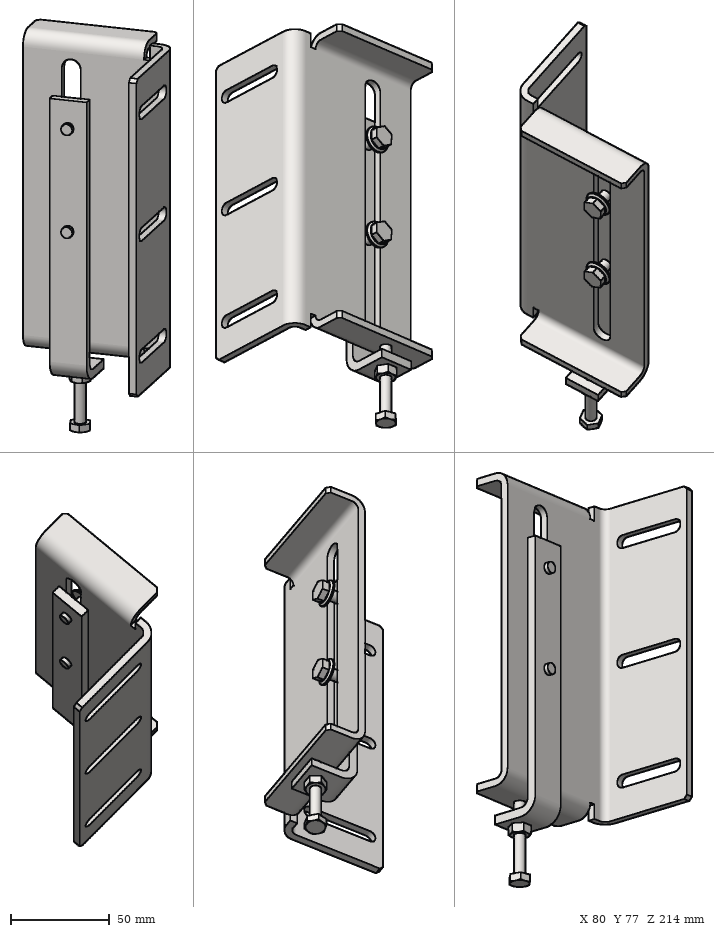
import cadquery as cq
import math


bracket_width = 80.0
bracket_height = 170.0
mid_height = bracket_height / 2
sheet = 4.0
bend_inner = 3.9
bend_outer = bend_inner + sheet
rear_reach = 22.0
side_reach = 55.0
side_inner_x = bracket_width - sheet
rear_flange_width = 65.0
relief_width = 3.2
corner_chamfer = 2.0
mount_slot_width = 7.0
mount_slot_length = 42.0
mount_slot_y = -29.5
mount_slot_margin = 20.0
mount_slot_count = 3
guide_slot_width = 10.0
guide_slot_margin = 12.0

bar_left = 16.0
bar_width = 20.0
bar_x = bar_left + bar_width / 2
bar_thickness = 5.0
bar_top = bracket_height - 32.3
bar_bottom = -12.8
bar_bend_inner = 5.0
bar_bend_outer = bar_bend_inner + bar_thickness

thread_diameter = 6.0
hex_flats = 10.0
hex_corners = hex_flats / math.cos(math.pi / 6)
hex_corner_drop = 0.5

clamp_top_z = bracket_height - 47.3
clamp_pitch = 55.0
clamp_count = 2
clamp_tip_y = -7.3
clamp_flange_y = 6.8
clamp_flange_diameter = 14.1
clamp_flange_sides = 36
clamp_rim_height = 0.9
clamp_cone_height = 1.0
clamp_head_height = 3.9
clamp_head_turn = 3

screw_y = 14.0
screw_bottom = bracket_height - 214
screw_head_height = 4.0
screw_head_turn = -15
nut_height = 5.0


def chamfered_hexagon(height, turn=0):
    """Hexagonal prism standing on Z = 0, turned about Z, with its lower corners chamfered."""
    prism = cq.Workplane("XY").transformed(rotate=(0, 0, turn)).polygon(6, hex_corners).extrude(height)
    corner_limit = (
        cq.Workplane("XZ")
        .polyline([
            (0, 0),
            (hex_flats / 2, 0),
            (hex_corners / 2, hex_corner_drop),
            (hex_corners / 2, height),
            (0, height),
        ])
        .close()
        .revolve(360, (0, 0), (0, 1))
    )
    return prism.intersect(corner_limit)


def make_plate_and_side_flange():
    """L in plan, bent forwards, with the plate ends cleared for the rear flanges and reliefs."""
    angle = (
        cq.Workplane("XY")
        .moveTo(0, 0)
        .lineTo(side_inner_x - bend_inner, 0)
        .radiusArc((side_inner_x, -bend_inner), bend_inner)
        .lineTo(side_inner_x, -side_reach)
        .lineTo(bracket_width, -side_reach)
        .lineTo(bracket_width, sheet - bend_outer)
        .radiusArc((bracket_width - bend_outer, sheet), -bend_outer)
        .lineTo(0, sheet)
        .close()
        .extrude(bracket_height)
        .faces("<Y").edges("|X").chamfer(corner_chamfer)
    )
    for end_z in (0, bracket_height - bend_outer):
        clearance = cq.Workplane("XY", origin=(0, 0, end_z)).box(
            rear_flange_width + relief_width, sheet, bend_outer, centered=False)
        angle = angle.cut(clearance)
    return angle


def make_lower_rear_flange():
    """Rear flange at the bracket bottom together with its bend."""
    return (
        cq.Workplane("YZ")
        .moveTo(0, bend_outer)
        .radiusArc((bend_outer, 0), -bend_outer)
        .lineTo(rear_reach, 0)
        .lineTo(rear_reach, sheet)
        .lineTo(bend_outer, sheet)
        .radiusArc((sheet, bend_outer), bend_inner)
        .close()
        .extrude(rear_flange_width)
        .faces(">Y").edges("|Z").chamfer(corner_chamfer)
    )


def make_bracket():
    lower_flange = make_lower_rear_flange()
    upper_flange = lower_flange.mirror("XY", (0, 0, mid_height))
    bracket = make_plate_and_side_flange().union(lower_flange).union(upper_flange)

    mount_slot_pitch = (bracket_height - 2 * mount_slot_margin) / (mount_slot_count - 1)
    mount_slots = (
        cq.Workplane("YZ", origin=(side_inner_x, mount_slot_y, mid_height))
        .rarray(2.1, mount_slot_pitch, 1, mount_slot_count)
        .slot2D(mount_slot_length, mount_slot_width)
        .extrude(sheet)
    )

    guide_slot = (
        cq.Workplane("XZ", origin=(bar_x, 0, mid_height))
        .slot2D(bracket_height - 2 * guide_slot_margin, guide_slot_width, 90)
        .extrude(-sheet)
    )
    return bracket.cut(mount_slots).cut(guide_slot)


def make_clamp_bolt(z):
    """Flanged hexagon bolt along Y at height z, with its tip towards -Y."""
    rim_z = clamp_head_height + clamp_cone_height
    flange_face_z = rim_z + clamp_rim_height
    shank_length = clamp_flange_y - clamp_tip_y
    head = (
        cq.Workplane("XY")
        .transformed(rotate=(0, 0, clamp_head_turn))
        .polygon(6, hex_corners)
        .extrude(rim_z)
    )
    cone = (
        cq.Workplane("XY", origin=(0, 0, clamp_head_height))
        .circle(hex_corners / 2)
        .workplane(offset=clamp_cone_height)
        .circle(clamp_flange_diameter / 2)
        .loft()
    )
    rim = (
        cq.Workplane("XY", origin=(0, 0, rim_z))
        .transformed(rotate=(0, 0, 180 / clamp_flange_sides))
        .polygon(clamp_flange_sides, clamp_flange_diameter)
        .extrude(clamp_rim_height)
    )
    shank = (
        cq.Workplane("XY", origin=(0, 0, flange_face_z))
        .circle(thread_diameter / 2)
        .extrude(shank_length)
    )
    bolt = head.union(cone).union(rim).union(shank)

    upright_corner = bolt.rotate((0, 0, 0), (0, 0, 1), 90)
    lying = upright_corner.rotate((0, 0, 0), (1, 0, 0), 90)
    return lying.translate((bar_x, clamp_flange_y + flange_face_z, z))


def make_slide_bar():
    """Bar bent backwards below the bracket, with the clamp bolts fixed in it."""
    bar = (
        cq.Workplane("YZ", origin=(bar_left, 0, 0))
        .moveTo(0, bar_top)
        .lineTo(-bar_thickness, bar_top)
        .lineTo(-bar_thickness, bar_bottom + bar_bend_outer)
        .radiusArc((bar_bend_inner, bar_bottom), -bar_bend_outer)
        .lineTo(rear_reach, bar_bottom)
        .lineTo(rear_reach, bar_bottom + bar_thickness)
        .lineTo(bar_bend_inner, bar_bottom + bar_thickness)
        .radiusArc((0, bar_bottom + bar_bend_outer), bar_bend_inner)
        .close()
        .extrude(bar_width)
    )
    for i in range(clamp_count):
        bar = bar.union(make_clamp_bolt(clamp_top_z - i * clamp_pitch))

    screw_hole = (
        cq.Workplane("XY", origin=(bar_x, screw_y, bar_bottom))
        .circle(thread_diameter / 2)
        .extrude(bar_thickness)
    )
    return bar.cut(screw_hole)


def make_nut():
    """Hexagon nut under the lower arm of the slide bar."""
    nut = chamfered_hexagon(nut_height).faces(">Z").workplane().hole(thread_diameter)
    return nut.translate((bar_x, screw_y, bar_bottom - nut_height))


def make_adjusting_screw():
    """Hexagon head screw whose tip bears on the underside of the lower rear flange."""
    head = chamfered_hexagon(screw_head_height, screw_head_turn)
    shank_length = -screw_bottom - screw_head_height
    screw = head.faces(">Z").workplane().circle(thread_diameter / 2).extrude(shank_length)
    return screw.translate((bar_x, screw_y, screw_bottom))


bracket = make_bracket()
slide_bar = make_slide_bar()
nut = make_nut()
adjusting_screw = make_adjusting_screw()

result = cq.Compound.makeCompound([
    bracket.val(),
    slide_bar.val(),
    nut.val(),
    adjusting_screw.val(),
])